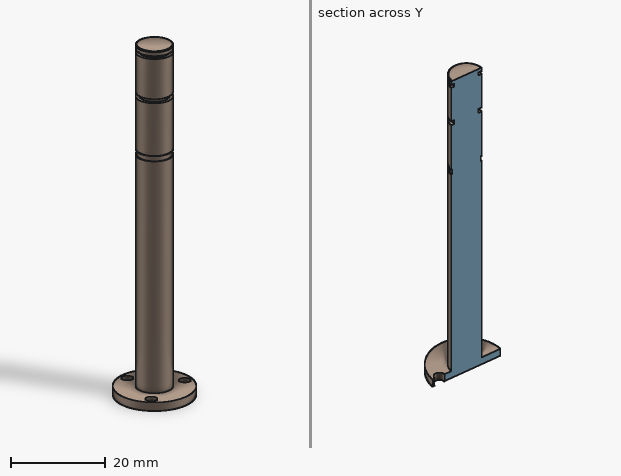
import cadquery as cq

total_height = 80.8
flange_diameter = 17.7
flange_thickness = 2.0
rod_diameter = 8.0
top_face_diameter = 7.6
top_chamfer = (rod_diameter - top_face_diameter) / 2

hole_count = 3
hole_diameter = 2.5
hole_circle_radius = 7.0
first_hole_angle = 60.0

deep_groove_diameter = 6.4
shallow_groove_diameter = 7.6
grooves = [
    (1.05, 0.7, deep_groove_diameter),
    (11.0, 1.0, deep_groove_diameter),
    (24.2, 1.2, shallow_groove_diameter),
]


def make_flange():
    """Round base with its mounting holes, resting on Z = 0."""
    disc = cq.Workplane("XY").circle(flange_diameter / 2).extrude(flange_thickness)
    return (
        disc.faces(">Z")
        .workplane()
        .polarArray(hole_circle_radius, first_hole_angle, 360, hole_count)
        .hole(hole_diameter)
    )


def make_rod():
    """Full-height rod with a chamfered upper rim."""
    rod = cq.Workplane("XY").circle(rod_diameter / 2).extrude(total_height)
    return rod.faces(">Z").edges().chamfer(top_chamfer)


def make_groove_cutter(depth_below_top, width, floor_diameter):
    """Ring that removes one square-sided groove from the rod."""
    lower_edge = total_height - depth_below_top - width
    return (
        cq.Workplane("XY", origin=(0, 0, lower_edge))
        .circle(rod_diameter / 2)
        .circle(floor_diameter / 2)
        .extrude(width)
    )


result = make_flange().union(make_rod())
for depth_below_top, width, floor_diameter in grooves:
    result = result.cut(make_groove_cutter(depth_below_top, width, floor_diameter))